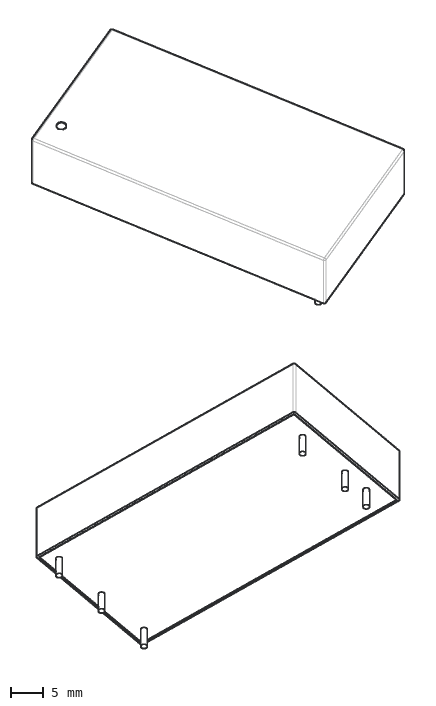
import cadquery as cq

CASE_LENGTH = 50.8
CASE_WIDTH = 25.4
CASE_HEIGHT = 10.3
EDGE_RADIUS = 0.3

BASE_INSET = 0.4
BASE_THICKNESS = 0.1

GRID = 2.54
TOTAL_HEIGHT = 13.9
PIN_DIAMETER = 1.0
PIN_REACH = TOTAL_HEIGHT - CASE_HEIGHT
PIN_ROW_X = 9 * GRID
LEFT_ROW_Y = (-3 * GRID, -GRID, 3 * GRID)
RIGHT_ROW_Y = (-4 * GRID, 0, 4 * GRID)

MARK_DIAMETER = 1.5
MARK_DEPTH = 0.2
MARK_X = -22.6
MARK_Y = -8.2


def make_case():
    """Block with rounded vertical and top edges and a sharp bottom rim."""
    case = cq.Workplane("XY").rect(CASE_LENGTH, CASE_WIDTH).extrude(CASE_HEIGHT)
    return case.edges("|Z or >Z").fillet(EDGE_RADIUS)


def make_base():
    """Thin plate on the bottom of the case."""
    length = CASE_LENGTH - 2 * BASE_INSET
    width = CASE_WIDTH - 2 * BASE_INSET
    return cq.Workplane("XY").rect(length, width).extrude(-BASE_THICKNESS)


def make_pins():
    """All pins, pointing down from the bottom of the case."""
    left_row = [(-PIN_ROW_X, y) for y in LEFT_ROW_Y]
    right_row = [(PIN_ROW_X, y) for y in RIGHT_ROW_Y]
    return (
        cq.Workplane("XY")
        .pushPoints(left_row + right_row)
        .circle(PIN_DIAMETER / 2)
        .extrude(-PIN_REACH)
    )


def make_mark():
    """Cylinder to be removed from the top face."""
    return (
        cq.Workplane("XY", origin=(MARK_X, MARK_Y, CASE_HEIGHT))
        .circle(MARK_DIAMETER / 2)
        .extrude(-MARK_DEPTH)
    )


result = make_case().union(make_base()).union(make_pins()).cut(make_mark())